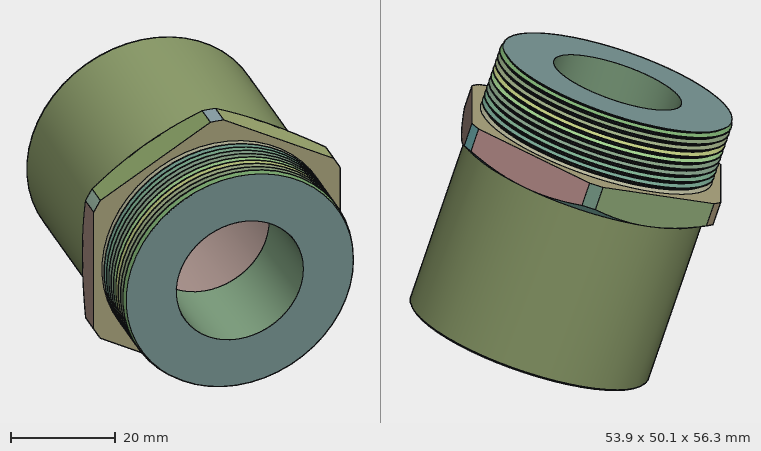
import cadquery as cq
import math

total_length = 53.85

tube_length = 34.5
tube_radius = 24.05
tube_edge_chamfer = 0.35
socket_radius = 21.55
through_radius = 12.9

collar_width = 6.5
across_flats = 50.05
corner_radius = 28.15
collar_face_radius = across_flats / 2
collar_chamfer_angle = 30.0

crest_radius = 23.35
root_radius = 22.5
ridge_span = 10.6
ridge_count = 9
first_crest_offset = 1.25
crest_flat = 0.15
flank_angle = 30.0

thread_start = tube_length + collar_width
thread_pitch = ridge_span / (ridge_count - 1)


def revolve_about_x(profile):
    """Revolve a closed profile in the XY plane about the X axis."""
    return profile.close().revolve(360, (0, 0, 0), (1, 0, 0))


def cylinder(start, end, radius):
    return cq.Workplane("YZ", origin=(start, 0, 0)).circle(radius).extrude(end - start)


def make_collar():
    """Hexagon with two corners on Z, rounded corners and a coned tube-side face."""
    across_corners = across_flats / math.cos(math.radians(30))
    hexagon = (
        cq.Workplane("YZ", origin=(tube_length, 0, 0))
        .transformed(rotate=(0, 0, 90))
        .polygon(6, across_corners)
        .extrude(collar_width)
    )
    cone_depth = (corner_radius - collar_face_radius) * math.tan(math.radians(collar_chamfer_angle))
    envelope = revolve_about_x(
        cq.Workplane("XY")
        .moveTo(tube_length, 0)
        .lineTo(tube_length, collar_face_radius)
        .lineTo(tube_length + cone_depth, corner_radius)
        .lineTo(thread_start, corner_radius)
        .lineTo(thread_start, 0)
    )
    return hexagon.intersect(envelope)


def make_thread():
    """Ridged cylinder with a partial ridge at each end."""
    flank_length = (crest_radius - root_radius) * math.tan(math.radians(flank_angle))
    profile = cq.Workplane("XY").moveTo(thread_start - thread_pitch, 0)
    profile = profile.lineTo(thread_start - thread_pitch, root_radius)
    for ridge in range(-1, ridge_count + 1):
        crest = thread_start + first_crest_offset + ridge * thread_pitch
        crest_start = crest - crest_flat / 2
        crest_end = crest + crest_flat / 2
        profile = (
            profile.lineTo(crest_start - flank_length, root_radius)
            .lineTo(crest_start, crest_radius)
            .lineTo(crest_end, crest_radius)
            .lineTo(crest_end + flank_length, root_radius)
        )
    profile = profile.lineTo(total_length + thread_pitch, root_radius)
    profile = profile.lineTo(total_length + thread_pitch, 0)
    return revolve_about_x(profile).intersect(cylinder(thread_start, total_length, corner_radius))


tube = cylinder(0, tube_length, tube_radius).faces("<X").chamfer(tube_edge_chamfer)
body = tube.union(make_collar()).union(make_thread())

result = body.cut(cylinder(0, tube_length, socket_radius)).cut(cylinder(0, total_length, through_radius))